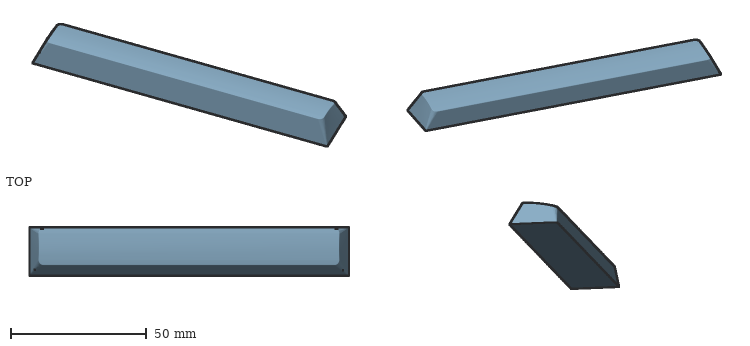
import cadquery as cq
import math

LENGTH = 118.0
WIDTH = 18.0
BASE_CORNER_RADIUS = 0.4

FRONT_HEIGHT = 8.7
BACK_HEIGHT = 6.7
FRONT_INSET = 3.9
BACK_INSET = 0.7
END_INSET = 3.7
TOP_CORNER_RADIUS = 2.0
RIM_FILLET = 0.2

TRIM_ALLOWANCE = 0.6

front_rim_y = -WIDTH / 2 + FRONT_INSET
back_rim_y = WIDTH / 2 - BACK_INSET


def rounded_rectangle(length, width, radius):
    """Centred rectangle with all four corners rounded."""
    return cq.Sketch().rect(length, width).vertices().fillet(radius)


def tapered_body():
    """Loft from the flat base to a rounded rectangle that slopes down to the back."""
    front_z = FRONT_HEIGHT + TRIM_ALLOWANCE
    back_z = BACK_HEIGHT + TRIM_ALLOWANCE
    front_y = -WIDTH / 2 + FRONT_INSET * front_z / FRONT_HEIGHT
    back_y = WIDTH / 2 - BACK_INSET * back_z / BACK_HEIGHT
    rise = back_z - front_z
    depth = back_y - front_y

    top_plane = cq.Plane(
        origin=(0, (front_y + back_y) / 2, (front_z + back_z) / 2),
        xDir=(1, 0, 0),
        normal=(0, -rise, depth),
    )
    top_length = LENGTH - 2 * END_INSET
    top_width = math.hypot(depth, rise)
    base = rounded_rectangle(LENGTH, WIDTH, BASE_CORNER_RADIUS)
    top = rounded_rectangle(top_length, top_width, TOP_CORNER_RADIUS)
    return cq.Workplane().placeSketch(base, top.moved(cq.Location(top_plane))).loft(ruled=True)


def crown_cylinder():
    """Cylinder along the part whose upper surface is the crowned top."""
    run = back_rim_y - front_rim_y
    drop = FRONT_HEIGHT - BACK_HEIGHT
    radius = (run**2 + drop**2) / (2 * drop)
    return (
        cq.Workplane("YZ")
        .center(front_rim_y, FRONT_HEIGHT - radius)
        .circle(radius)
        .extrude(LENGTH / 2, both=True)
    )


body = tapered_body().intersect(crown_cylinder())
result = body.faces(">Z").edges().fillet(RIM_FILLET)